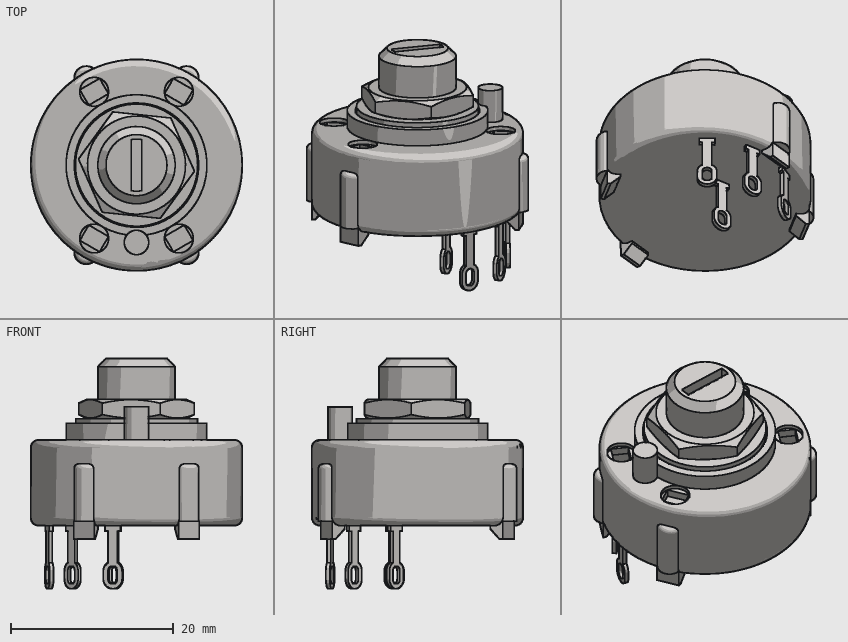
import cadquery as cq
import math


overall_height = 28.31

housing_dia = 26.0
housing_height = 10.55
housing_edge_radius = 1.0
cavity_dia = 24.0
roof_thickness = 1.5
floor_thickness = 1.5

collar_dia = 17.3
collar_height = 2.05
seat_dia = 15.3
seat_depth = 0.3

washer_dia = 15.0
washer_rise = 0.55
nut_height = 2.4
nut_across_flats = 12.4
nut_face_dia = 12.05
nut_chamfer_height = 0.5
nut_turn = -6.0

bushing_dia = 9.5
bushing_chamfer = 1.0
shaft_dia = 6.4
slot_width = 1.25
slot_depth = 1.5

pin_dia = 3.0
pin_offset = 9.5
pin_height = 4.05

clip_angles = (60, 120, 240, 300)
rib_dia = 3.0
rib_center_radius = 12.33
rib_bottom = 0.57
rib_top = 7.6
rib_edge_radius = 0.6
hook_width = 2.9
hook_inner_radius = 11.33
hook_tip_radius = 12.5
hook_skew = 12.0
hook_depth = 1.65
hook_slope_start = 0.38
pocket_dia = 3.55
pocket_center_radius = 10.4
pocket_depth = 0.5
window_width = 2.8

terminal_circle_radius = 11.1
terminal_angles = (195, 225, 255)
common_radius = 3.9
common_angle = 225
terminal_thickness = 0.5
terminal_length = 7.76
shoulder_width = 1.95
shoulder_depth = 0.67
stem_width = 1.2
eye_width = 2.4
eye_hole_width = 1.2
eye_straight = 1.0

window_depth = roof_thickness - pocket_depth
housing_radius = housing_dia / 2
collar_top = housing_height + collar_height
washer_bottom = collar_top - seat_depth
washer_top = collar_top + washer_rise
nut_top = washer_top + nut_height
bushing_top = overall_height - terminal_length
hook_outer_radius = math.sqrt(housing_radius**2 - (hook_width / 2) ** 2)
window_length = math.sqrt(pocket_dia**2 - window_width**2)


def disc(diameter, bottom, top):
    """Upright cylinder on the axis."""
    return cq.Workplane("XY").workplane(offset=bottom).circle(diameter / 2).extrude(top - bottom)


def turned(shape, angle):
    """Shape turned about the axis."""
    return shape.rotate((0, 0, 0), (0, 0, 1), angle)


def make_housing():
    return disc(housing_dia, 0, housing_height).edges().fillet(housing_edge_radius)


def make_cavity():
    return disc(cavity_dia, floor_thickness, housing_height - roof_thickness)


def make_collar():
    collar = disc(collar_dia, housing_height, collar_top)
    return collar.cut(disc(seat_dia, washer_bottom, collar_top))


def make_nut():
    """Hexagon with a conical chamfer on both faces."""
    corner_radius = nut_across_flats / math.sqrt(3)
    face_radius = nut_face_dia / 2
    nut_base = cq.Workplane("XY").workplane(offset=washer_top)
    hexagon = nut_base.polygon(6, 2 * corner_radius).extrude(nut_height)
    envelope = (
        cq.Workplane("XZ")
        .moveTo(0, washer_top)
        .lineTo(face_radius, washer_top)
        .lineTo(corner_radius, washer_top + nut_chamfer_height)
        .lineTo(corner_radius, nut_top - nut_chamfer_height)
        .lineTo(face_radius, nut_top)
        .lineTo(0, nut_top)
        .close()
        .revolve(360, (0, 0, 0), (0, 1, 0))
    )
    return turned(hexagon.intersect(envelope), nut_turn)


def make_bushing():
    bushing = disc(bushing_dia, washer_top, bushing_top).faces(">Z").chamfer(bushing_chamfer)
    slot_bottom = bushing_top - slot_depth
    slot = cq.Workplane("XY").box(slot_width, shaft_dia, slot_depth, centered=(True, True, False))
    slot = slot.translate((0, 0, slot_bottom)).intersect(disc(shaft_dia, slot_bottom, bushing_top))
    return bushing.cut(slot)


def make_pin():
    pin = disc(pin_dia, housing_height, housing_height + pin_height)
    return pin.translate((0, -pin_offset, 0))


def make_rib():
    """Round rib on the wall, on the +X side."""
    rib = disc(rib_dia, rib_bottom, rib_top).faces(">Z").edges().fillet(rib_edge_radius)
    return rib.translate((rib_center_radius, 0, 0))


def make_hook(skew):
    """Hook below the rib on the +X side, sloped up from its tip, with both flanks skewed toward +Y."""
    half_width = hook_width / 2
    side_shift = (hook_outer_radius - hook_inner_radius) * math.tan(math.radians(skew))
    plan = (
        cq.Workplane("XY")
        .workplane(offset=-hook_depth)
        .moveTo(hook_outer_radius, -half_width)
        .lineTo(hook_outer_radius, half_width)
        .lineTo(hook_inner_radius, half_width + side_shift)
        .lineTo(hook_inner_radius, -half_width + side_shift)
        .close()
        .extrude(hook_depth + rib_bottom)
    )
    profile = (
        cq.Workplane("XZ")
        .moveTo(hook_inner_radius, rib_bottom)
        .lineTo(hook_inner_radius, -hook_slope_start)
        .lineTo(hook_tip_radius, -hook_depth)
        .lineTo(hook_outer_radius, -hook_depth)
        .lineTo(hook_outer_radius, rib_bottom)
        .close()
        .extrude(hook_width, both=True)
    )
    return plan.intersect(profile)


def make_pocket():
    """Round recess with a rectangular window through the roof below, on the +X side."""
    floor = housing_height - pocket_depth
    recess = disc(pocket_dia, floor, housing_height)
    window = cq.Workplane("XY").box(window_length, window_width, window_depth, centered=(True, True, False))
    window = window.translate((0, 0, floor - window_depth))
    return recess.union(window).translate((pocket_center_radius, 0, 0))


def make_terminal(radius):
    """Flat solder terminal facing +X, at a radius from the axis."""
    eye_center = -terminal_length + (eye_width + eye_straight) / 2
    plate = cq.Workplane("YZ").workplane(offset=-terminal_thickness / 2)
    shoulder = plate.rect(shoulder_width, 2 * shoulder_depth).extrude(terminal_thickness)
    stem = plate.center(0, eye_center / 2).rect(stem_width, -eye_center).extrude(terminal_thickness)
    eye_plate = plate.center(0, eye_center)
    eye = eye_plate.slot2D(eye_width + eye_straight, eye_width, 90).extrude(terminal_thickness)
    hole = eye_plate.slot2D(eye_hole_width + eye_straight, eye_hole_width, 90).extrude(terminal_thickness)
    return shoulder.union(stem).union(eye).cut(hole).translate((radius, 0, 0))


result = make_housing()
skew = -hook_skew
for clip_angle in clip_angles:
    result = result.cut(turned(make_pocket(), clip_angle))
    result = result.union(turned(make_rib(), clip_angle))
    result = result.union(turned(make_hook(skew), clip_angle))
    skew = -skew

result = result.cut(make_cavity())

result = result.union(make_collar())
result = result.union(disc(washer_dia, washer_bottom, washer_top))
result = result.union(make_nut())
result = result.union(make_bushing())
result = result.union(make_pin())

for terminal_angle in terminal_angles:
    result = result.union(turned(make_terminal(terminal_circle_radius), terminal_angle))
result = result.union(turned(make_terminal(common_radius), common_angle))